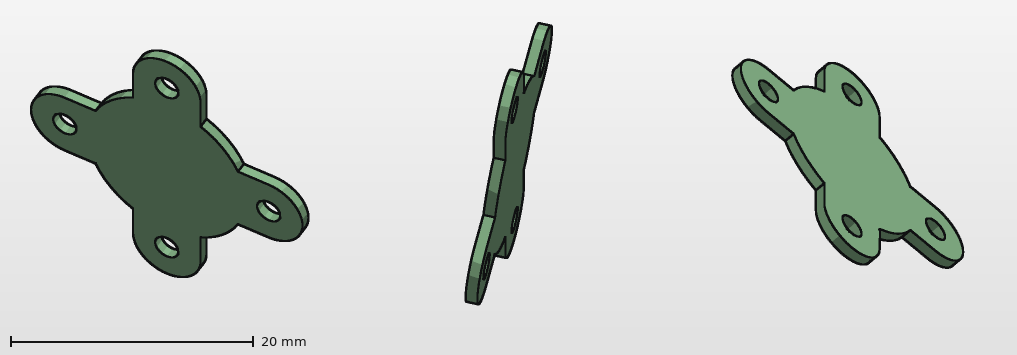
import cadquery as cq

overall_span = 25.84
thickness = 1.0
arm_width = 6.44
disc_diameter = 15.0
hole_diameter = 2.2
arm_count = 4

hole_offset = (overall_span - arm_width) / 2


def cylinder(diameter):
    """Cylinder through the plate thickness, centred on the origin, axis along Y."""
    return cq.Workplane("XZ").circle(diameter / 2).extrude(thickness / 2, both=True)


def crossbar():
    """Round-ended bar along X forming two opposite arms."""
    return cq.Workplane("XZ").slot2D(overall_span, arm_width).extrude(thickness / 2, both=True)


def mounting_holes():
    """One through hole at the end of each arm."""
    hole = cylinder(hole_diameter).translate((hole_offset, 0, 0))
    holes = cq.Workplane("XZ")
    for index in range(arm_count):
        angle = index * 360 / arm_count
        holes = holes.add(hole.rotate((0, 0, 0), (0, 1, 0), angle))
    return holes.combine()


horizontal_arms = crossbar()
vertical_arms = crossbar().rotate((0, 0, 0), (0, 1, 0), 90)

plate = cylinder(disc_diameter).union(horizontal_arms).union(vertical_arms)
result = plate.cut(mounting_holes())